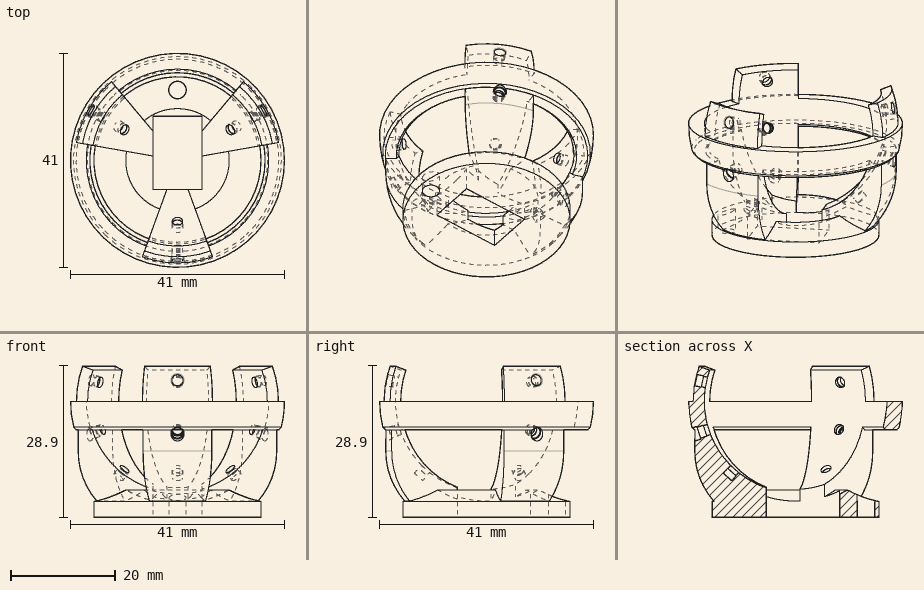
import cadquery as cq
import math

total_height = 28.93
ball_radius = 17.45
cage_radius = 19.63
arm_half_angle = 20.0
tip_angle = 20.0
ball_center_z = total_height - cage_radius * math.sin(math.radians(tip_angle))

ring_radius = 20.48
ring_height = 5.45
ring_bevel = 0.5
ring_bottom_z = ball_center_z - ring_height

base_radius = 16.0
base_edge_height = 3.05
base_rim_radius = 9.9
base_top_mid_radius = 12.4
base_top_mid_z = 4.15

arm_azimuths = (30.0, 150.0, 270.0)
arm_radius = 19.3
arm_foot_radius = 15.6
arm_straight_z = 12.7

hole_spacing = 30.0
tip_hole_elevation = 12.0
open_hole_elevation = tip_hole_elevation - hole_spacing
low_hole_elevation = open_hole_elevation - hole_spacing
hole_elevations = (tip_hole_elevation, open_hole_elevation, low_hole_elevation)
lip_diameter = 2.0
hole_diameter = 2.15
pocket_diameter = 2.5
lip_start = ball_radius - 1.0
lip_end = 18.2
hole_end = 19.45
pocket_end = 22.0

window_width = 9.3
window_length = 14.0
window_center_y = 1.43
cable_hole_diameter = 3.3
cable_hole_y = 13.45


def ball(radius):
    """Sphere about the ball centre."""
    return cq.Workplane("XY").sphere(radius).translate((0, 0, ball_center_z))


def make_base():
    rim_z = ball_center_z - math.sqrt(cage_radius**2 - base_rim_radius**2)
    profile = (
        cq.Workplane("XZ")
        .lineTo(base_radius, 0)
        .lineTo(base_radius, base_edge_height)
        .threePointArc((base_top_mid_radius, base_top_mid_z), (base_rim_radius, rim_z))
        .lineTo(0, rim_z)
        .close()
    )
    return profile.revolve(360, (0, 0, 0), (0, 1, 0)).cut(ball(cage_radius))


def make_ring():
    """Spherical zone with both lower edges bevelled, still solid toward the ball."""
    bevel_z = ring_bottom_z + ring_bevel
    bevel_drop = ball_center_z - bevel_z
    inner_edge = math.sqrt(ball_radius**2 - bevel_drop**2)
    outer_edge = math.sqrt(ring_radius**2 - bevel_drop**2)
    half_slope = math.asin(bevel_drop / ring_radius) / 2
    outer_mid = (
        ring_radius * math.cos(half_slope),
        ball_center_z - ring_radius * math.sin(half_slope),
    )
    profile = (
        cq.Workplane("XZ")
        .moveTo(0, ball_center_z)
        .lineTo(inner_edge, bevel_z)
        .lineTo(inner_edge + ring_bevel, ring_bottom_z)
        .lineTo(outer_edge - ring_bevel, ring_bottom_z)
        .lineTo(outer_edge, bevel_z)
        .threePointArc(outer_mid, (ring_radius, ball_center_z))
        .close()
    )
    return profile.revolve(360, (0, 0, 0), (0, 1, 0))


def make_arm(azimuth):
    """One arm: a slice of a revolved body, still solid to the axis."""
    tip_radius = cage_radius * math.cos(math.radians(tip_angle))
    curve_drop = arm_straight_z - base_edge_height
    curve_inset = arm_radius - arm_foot_radius
    curve_radius = (curve_drop**2 + curve_inset**2) / (2 * curve_inset)
    half_sweep = math.asin(curve_drop / curve_radius) / 2
    curve_mid = (
        arm_radius - curve_radius * (1 - math.cos(half_sweep)),
        arm_straight_z - curve_radius * math.sin(half_sweep),
    )
    shoulder_z = ball_center_z - math.sqrt(cage_radius**2 - arm_radius**2)
    half_tip = math.radians(tip_angle / 2)
    tip_mid = (
        cage_radius * math.cos(half_tip),
        ball_center_z + cage_radius * math.sin(half_tip),
    )
    profile = (
        cq.Workplane("XZ")
        .lineTo(arm_foot_radius, 0)
        .lineTo(arm_foot_radius, base_edge_height)
        .threePointArc(curve_mid, (arm_radius, arm_straight_z))
        .lineTo(arm_radius, shoulder_z)
        .lineTo(cage_radius, ball_center_z)
        .threePointArc(tip_mid, (tip_radius, total_height))
        .lineTo(0, ball_center_z)
        .close()
    )
    arm = profile.revolve(2 * arm_half_angle, (0, 0, 0), (0, 1, 0))
    return arm.rotate((0, 0, 0), (0, 0, 1), azimuth - arm_half_angle)


def radial_cylinder(azimuth, elevation, diameter, start, end):
    """Cylinder along a ray from the ball centre, between two distances on it."""
    level = math.cos(math.radians(elevation))
    direction = cq.Vector(
        level * math.cos(math.radians(azimuth)),
        level * math.sin(math.radians(azimuth)),
        math.sin(math.radians(elevation)),
    )
    origin = cq.Vector(0, 0, ball_center_z) + direction * start
    return cq.Workplane(cq.Plane(origin, normal=direction)).circle(diameter / 2).extrude(end - start)


def cut_bearing_hole(body, azimuth, elevation):
    """Stepped hole from the ball cavity; blind except for the one below the ring."""
    body = body.cut(radial_cylinder(azimuth, elevation, lip_diameter, lip_start, lip_end))
    body = body.cut(radial_cylinder(azimuth, elevation, hole_diameter, lip_end, hole_end))
    if elevation == open_hole_elevation:
        body = body.cut(radial_cylinder(azimuth, elevation, pocket_diameter, hole_end, pocket_end))
    return body


def cut_tip_flat(body, azimuth):
    """Small round flat on the outer face, over the blind hole in the arm tip."""
    flat_distance = math.sqrt(cage_radius**2 - (pocket_diameter / 2) ** 2)
    return body.cut(
        radial_cylinder(azimuth, tip_hole_elevation, pocket_diameter, flat_distance, cage_radius)
    )


def cut_base_openings(body):
    window = (
        cq.Workplane("XY")
        .center(0, window_center_y)
        .rect(window_width, window_length)
        .extrude(ball_center_z)
    )
    cable_hole = (
        cq.Workplane("XY")
        .center(0, cable_hole_y)
        .circle(cable_hole_diameter / 2)
        .extrude(arm_straight_z)
    )
    return body.cut(window).cut(cable_hole)


cage = make_ring()
for arm_azimuth in arm_azimuths:
    cage = cage.union(make_arm(arm_azimuth))
result = cage.cut(ball(ball_radius)).union(make_base())
for arm_azimuth in arm_azimuths:
    for hole_elevation in hole_elevations:
        result = cut_bearing_hole(result, arm_azimuth, hole_elevation)
    result = cut_tip_flat(result, arm_azimuth)
result = cut_base_openings(result)